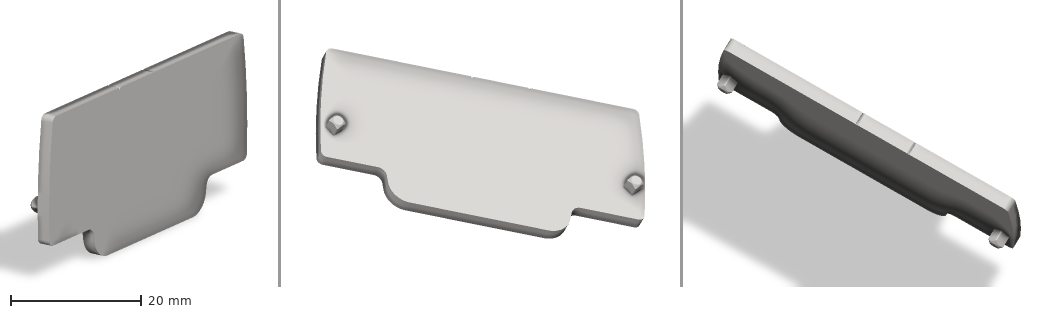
import cadquery as cq
import math

plate_thickness = 2.15
plate_width = 52.75
plate_height = 26.3
wing_height = 20.8
corner_radius = 1.0

end_bow_radius = 105.0

tab_center_y = 0.57
tab_half_width = 15.2
tab_taper_deg = 9.0
tab_root_radius = 1.5
tab_corner_radius = 3.6

pin_length = 2.25
pin_side = 2.0
pin_turned_radius = 1.33
pin_bevel = 0.5
pin_center_y = 24.2
pin_depth_below_top = 15.15

notch_depth = 0.35
notch_width = 0.4
left_notch_y = 1.85
right_notch_y = -7.7

top_z = pin_depth_below_top
wing_bottom_z = top_z - wing_height
tab_bottom_z = top_z - plate_height
half_width = plate_width / 2


def bowed_end_y(z):
    """Half width of the plate at height z."""
    return half_width - end_bow_radius + math.sqrt(end_bow_radius**2 - z**2)


def extrude_outline(outline):
    """Thicken a YZ outline from X = 0 to the far face of the plate."""
    return outline.close().extrude(plate_thickness)


def edges_at(body, y, z):
    """The edge along X that passes through the outline point (y, z)."""
    return body.edges(cq.selectors.NearestToPointSelector((plate_thickness / 2, y, z)))


def make_plate():
    taper_run = (wing_bottom_z - tab_bottom_z) * math.tan(math.radians(tab_taper_deg))
    tab_bottom_half_width = tab_half_width - taper_run
    top_y = bowed_end_y(top_z)
    wing_y = bowed_end_y(wing_bottom_z)

    tab_root_points = [
        (tab_center_y + tab_half_width, wing_bottom_z),
        (tab_center_y - tab_half_width, wing_bottom_z),
    ]
    tab_corner_points = [
        (tab_center_y + tab_bottom_half_width, tab_bottom_z),
        (tab_center_y - tab_bottom_half_width, tab_bottom_z),
    ]
    outer_corner_points = [
        (top_y, top_z),
        (wing_y, wing_bottom_z),
        (-wing_y, wing_bottom_z),
        (-top_y, top_z),
    ]

    outline = (
        cq.Workplane("YZ")
        .moveTo(-top_y, top_z)
        .lineTo(top_y, top_z)
        .threePointArc((half_width, 0), (wing_y, wing_bottom_z))
        .lineTo(*tab_root_points[0])
        .lineTo(*tab_corner_points[0])
        .lineTo(*tab_corner_points[1])
        .lineTo(*tab_root_points[1])
        .lineTo(-wing_y, wing_bottom_z)
        .threePointArc((-half_width, 0), (-top_y, top_z))
    )
    plate = extrude_outline(outline)

    rounded_corners = (
        (outer_corner_points, corner_radius),
        (tab_root_points, tab_root_radius),
        (tab_corner_points, tab_corner_radius),
    )
    for points, radius in rounded_corners:
        for y, z in points:
            plate = edges_at(plate, y, z).fillet(radius)
    return plate


def make_notch(wall_y, slope_direction):
    """V cutter: upright wall at wall_y, floor rising to the top edge along slope_direction."""
    outline = (
        cq.Workplane("YZ")
        .moveTo(wall_y, top_z)
        .lineTo(wall_y, top_z - notch_depth)
        .lineTo(wall_y + slope_direction * notch_width, top_z)
    )
    return extrude_outline(outline)


def make_pin(center_y):
    square_bar = (
        cq.Workplane("YZ", origin=(0, center_y, 0))
        .transformed(rotate=(0, 0, 45))
        .rect(pin_side, pin_side)
        .extrude(-pin_length)
    )
    turned_envelope = (
        cq.Workplane("YZ", origin=(0, center_y, 0))
        .circle(pin_turned_radius)
        .extrude(-pin_length)
        .faces("<X")
        .chamfer(pin_bevel)
    )
    return square_bar.intersect(turned_envelope)


result = make_plate()
result = result.cut(make_notch(left_notch_y, -1))
result = result.cut(make_notch(right_notch_y, 1))
for pin_y in (pin_center_y, -pin_center_y):
    result = result.union(make_pin(pin_y))